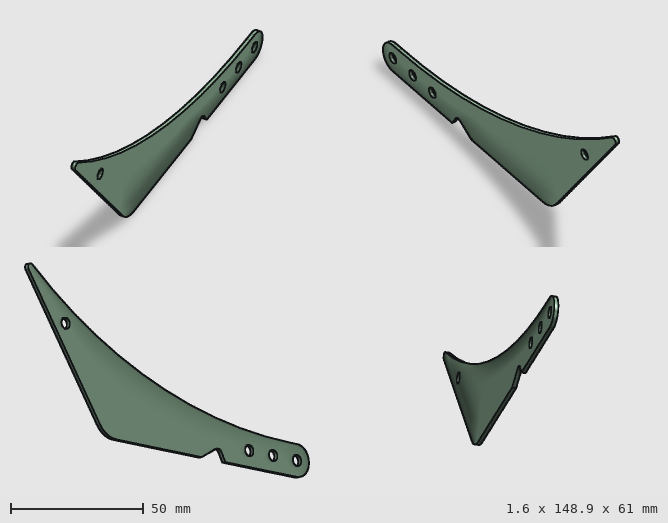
import cadquery as cq
import math

length = 148.8
thickness = 1.6

handle_height = 12.7
end_radius = handle_height / 2
handle_flat_end = 9.8

upper_edge_radius = 218.8
upper_edge_center_height = handle_height + upper_edge_radius

slope_base = 107.6
slope_angle = math.radians(55)
bottom_corner_radius = 10.5
tip_radius = 1.5

notch_start = 44.4
notch_width = 12.4
notch_steep_angle = math.radians(60)
notch_root_radius = 2.1

hole_diameter = 4.3
handle_hole_count = 3
handle_hole_pitch = handle_height
tip_hole = (128.9, 40.6)


def sharp_tip():
    """Point where the sloping edge meets the upper arc, before rounding."""
    run = math.cos(slope_angle)
    rise = math.sin(slope_angle)
    offset = slope_base - handle_flat_end
    half_linear = offset * run - upper_edge_center_height * rise
    constant = offset**2 + upper_edge_center_height**2 - upper_edge_radius**2
    distance = -half_linear - math.sqrt(half_linear**2 - constant)
    return (slope_base + distance * run, distance * rise)


def notch_apex():
    """Sharp root of the notch, whose two sides are perpendicular."""
    steep_side = notch_width * math.cos(notch_steep_angle)
    return (
        notch_start + steep_side * math.cos(notch_steep_angle),
        steep_side * math.sin(notch_steep_angle),
    )


def upper_edge_middle(tip):
    """Point halfway along the upper arc."""
    half_sweep = math.asin((tip[0] - handle_flat_end) / upper_edge_radius) / 2
    return (
        handle_flat_end + upper_edge_radius * math.sin(half_sweep),
        upper_edge_center_height - upper_edge_radius * math.cos(half_sweep),
    )


def round_corner(body, corner, radius):
    """Fillet the thickness-direction edge at an outline corner."""
    nearest = cq.selectors.NearestToPointSelector((corner[0], corner[1], thickness / 2))
    return body.edges("|Z").edges(nearest).fillet(radius)


def blade():
    """Blade lying flat, with reach along X and height along Y."""
    tip = sharp_tip()
    apex = notch_apex()
    body = (
        cq.Workplane("XY")
        .moveTo(end_radius, 0)
        .lineTo(notch_start, 0)
        .lineTo(*apex)
        .lineTo(notch_start + notch_width, 0)
        .lineTo(slope_base, 0)
        .lineTo(*tip)
        .threePointArc(upper_edge_middle(tip), (handle_flat_end, handle_height))
        .lineTo(end_radius, handle_height)
        .threePointArc((0, end_radius), (end_radius, 0))
        .close()
        .extrude(thickness)
    )
    body = round_corner(body, apex, notch_root_radius)
    body = round_corner(body, (slope_base, 0), bottom_corner_radius)
    return round_corner(body, tip, tip_radius)


def drill_holes(body):
    """Row of handle holes plus one hole near the tip."""
    centers = [
        (end_radius + index * handle_hole_pitch, end_radius)
        for index in range(handle_hole_count)
    ]
    centers.append(tip_hole)
    holes = (
        cq.Workplane("XY")
        .pushPoints(centers)
        .circle(hole_diameter / 2)
        .extrude(thickness)
    )
    return body.cut(holes)


result = (
    drill_holes(blade())
    .rotate((0, 0, 0), (1, 0, 0), 90)
    .rotate((0, 0, 0), (0, 0, 1), -90)
    .translate((thickness / 2, length / 2, 0))
)